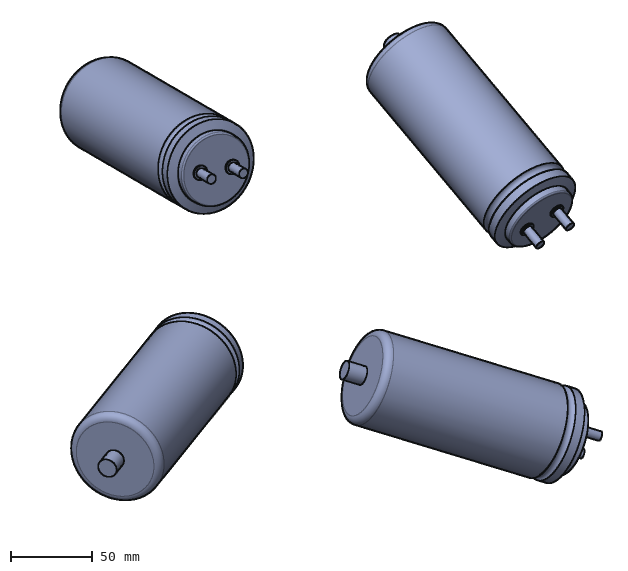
import cadquery as cq

can_radius = 30.3
can_start = 12.5
can_corner_radius = 4.8
groove_start = 139.1
groove_width = 5.5
groove_depth = 2.2
groove_end = groove_start + groove_width
rim_end = 150.8
crimp_length = 1.7
crimp_end = rim_end + crimp_length
crimp_end_radius = 24.3

cover_radius = 23.7
cover_end = 157.5
cover_edge_radius = 1.0

stud_radius = 6.0

terminal_spacing = 22.4
terminal_radius = 3.1
terminal_end = 172.0
collar_radius = 4.6
collar_thickness = 1.0


def rod(start, end, radius, y=0.0):
    """Solid cylinder along X between two X positions."""
    return cq.Workplane("YZ", origin=(start, y, 0)).circle(radius).extrude(end - start)


def make_can():
    """Can with its groove and conical crimp, revolved about the X axis."""
    groove_floor = (groove_start + groove_width / 2, can_radius - groove_depth)
    profile = (
        cq.Workplane("XY")
        .moveTo(can_start, 0)
        .lineTo(can_start, can_radius - can_corner_radius)
        .radiusArc((can_start + can_corner_radius, can_radius), can_corner_radius)
        .lineTo(groove_start, can_radius)
        .threePointArc(groove_floor, (groove_end, can_radius))
        .lineTo(rim_end, can_radius)
        .lineTo(crimp_end, crimp_end_radius)
        .lineTo(crimp_end, 0)
        .close()
    )
    return profile.revolve(360, (0, 0, 0), (1, 0, 0))


def make_cover():
    """Cover disc with a rounded outer edge."""
    return rod(rim_end, cover_end, cover_radius).faces(">X").edges().fillet(cover_edge_radius)


def make_terminal(y):
    """Round terminal pin with a collar at its foot."""
    collar = rod(rim_end, cover_end + collar_thickness, collar_radius, y)
    pin = rod(rim_end, terminal_end, terminal_radius, y)
    return collar.union(pin)


stud = rod(0, can_start + can_corner_radius, stud_radius)
result = make_can().union(make_cover()).union(stud)
for side in (-1, 1):
    result = result.union(make_terminal(side * terminal_spacing / 2))